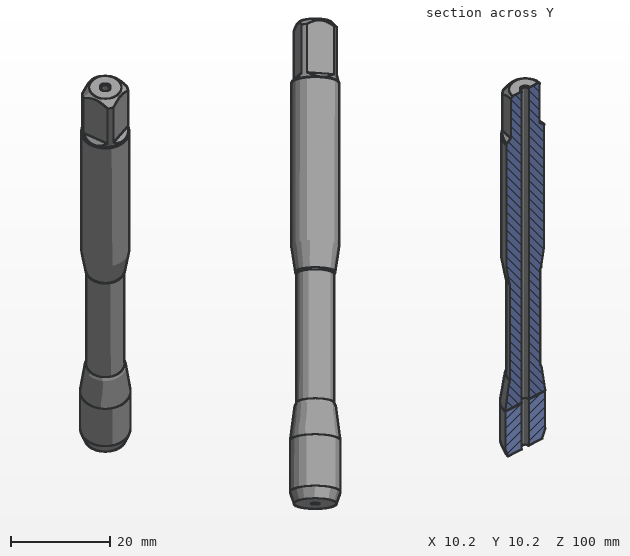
import cadquery as cq

total_length = 100.0
head_diameter = 10.2
shank_diameter = 9.7
neck_diameter = 7.7
hole_diameter = 1.7
hole_mouth_diameter = 2.2

lead_diameter = 8.6
lead_length = 2.4
head_length = 13.1

lower_taper_diameter = 8.4
upper_taper_diameter = 8.1
lower_taper_top = 20.1
lower_neck_start = 20.9
upper_neck_end = 47.7
upper_taper_bottom = 48.1
upper_taper_top = 53.5

square_width = 7.4
square_corner_diameter = 9.3
shoulder_top = 87.6
tip_diameter = 6.5
tip_chamfer_height = 1.4
runout_height = (shank_diameter - square_width) / 2

head_radius = head_diameter / 2
shank_radius = shank_diameter / 2
hole_radius = hole_diameter / 2
neck_radius = neck_diameter / 2
lower_taper_radius = lower_taper_diameter / 2
upper_taper_radius = upper_taper_diameter / 2
corner_radius = square_corner_diameter / 2
shoulder_chamfer = shank_radius - corner_radius


def revolve_with_bore(outline):
    """Revolve an outer (radius, z) outline about Z, leaving the coolant bore open."""
    points = [(hole_radius, outline[0][1]), *outline, (hole_radius, outline[-1][1])]
    profile = cq.Workplane("XZ").polyline(points).close()
    return profile.revolve(360, (0, 0, 0), (0, 1, 0))


def make_head():
    return revolve_with_bore([
        (lead_diameter / 2, 0),
        (head_radius, lead_length),
        (head_radius, head_length),
    ])


def make_flat_cutter():
    """Block beyond the +X flat; its underside slopes down and outward at 45 degrees."""
    flat_x = square_width / 2
    outer_x = shank_diameter
    flat_bottom = shoulder_top + runout_height - shoulder_chamfer
    slope_drop = outer_x - flat_x
    profile = cq.Workplane("XZ").polyline([
        (flat_x, flat_bottom),
        (outer_x, flat_bottom - slope_drop),
        (outer_x, total_length),
        (flat_x, total_length),
    ]).close()
    return profile.extrude(shank_radius, both=True)


def make_mouth_cutter():
    """45 degree countersink where the bore opens at the top."""
    mouth_radius = hole_mouth_diameter / 2
    return cq.Workplane(cq.Solid.makeCone(
        0, mouth_radius, mouth_radius, pnt=(0, 0, total_length - mouth_radius)))


def make_shank():
    shank = revolve_with_bore([
        (head_radius, head_length),
        (lower_taper_radius, lower_taper_top),
        (neck_radius, lower_neck_start),
        (neck_radius, upper_neck_end),
        (upper_taper_radius, upper_taper_bottom),
        (shank_radius, upper_taper_top),
        (shank_radius, shoulder_top - shoulder_chamfer),
        (corner_radius, shoulder_top),
        (corner_radius, total_length - tip_chamfer_height),
        (tip_diameter / 2, total_length),
    ])
    flat_cutter = make_flat_cutter()
    for angle in (0, 90, 180, 270):
        shank = shank.cut(flat_cutter.rotate((0, 0, 0), (0, 0, 1), angle))
    return shank.cut(make_mouth_cutter())


head = make_head()
shank = make_shank()

result = cq.Compound.makeCompound([head.val(), shank.val()])